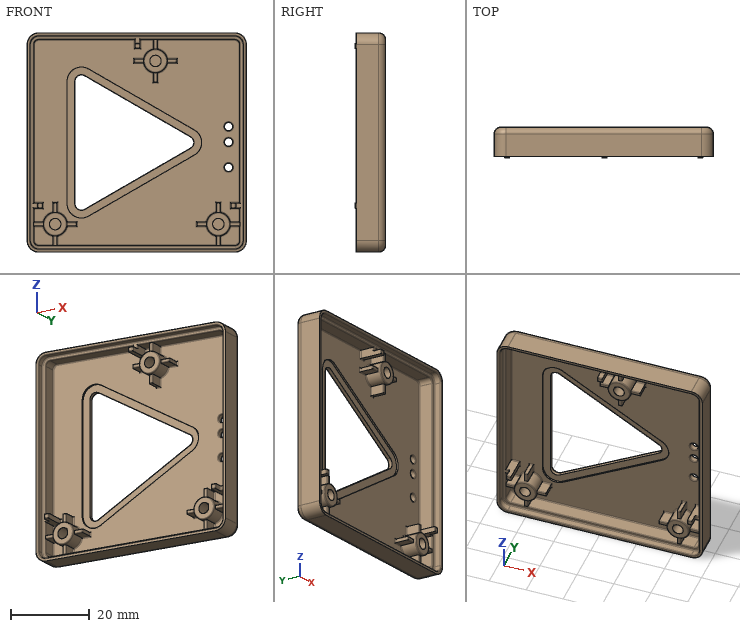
import cadquery as cq

BODY_SIZE = 55.66
BODY_DEPTH = 7.5
CORNER_RADIUS = 3.0
OUTER_EDGE_RADIUS = 1.8
FLOOR_THICKNESS = 1.55
WALL_THICKNESS = 1.7
RIM_WALL_THICKNESS = 0.8
RIM_STEP_DEPTH = 2.0
EDGE_RADIUS = 0.2

WINDOW_CENTER_X = -5.08
WINDOW_CIRCUMRADIUS = 17.9
WINDOW_CORNER_RADIUS = 1.65
WINDOW_BORDER_WIDTH = 2.0
WINDOW_BORDER_DEPTH = 0.5

HOLE_RADIUS = 1.05
HOLE_X = 23.3
HOLE_Z_POSITIONS = (4.05, 0.1, -6.3)

BOSS_OFFSET = 20.7
TOP_BOSS_X = 4.75
BOSS_CENTERS = ((-BOSS_OFFSET, -BOSS_OFFSET), (BOSS_OFFSET, -BOSS_OFFSET), (TOP_BOSS_X, BOSS_OFFSET))
BOSS_RADIUS = 3.0
BOSS_BORE_RADIUS = 1.45
BOSS_TOP_Y = 1.35
RIB_WIDTH = 1.0
RIB_TOP_Y = 2.1

TAB_WIDTH = 1.35
TAB_TIP_LENGTH = 1.25
TAB_TIP_GAP = 2.7
TAB_PROTRUSION = 0.35
TOP_TAB_X = 0.2
SIDE_TAB_Z = -16.0

FLOOR_Y = BODY_DEPTH - FLOOR_THICKNESS
HALF_SIZE = BODY_SIZE / 2
INNER_HALF = HALF_SIZE - WALL_THICKNESS
RIB_REACH = INNER_HALF - BOSS_OFFSET
SELECTION_MARGIN = 0.01


def plane_at(y):
    """Workplane at depth y whose local axes are X and Z; it extrudes toward -Y."""
    return cq.Workplane("XZ", origin=(0, y, 0))


def rounded_square(inset, y_start, y_end):
    """Square prism inset from the body outline, from y_start to a greater y_end."""
    size = BODY_SIZE - 2 * inset
    prism = plane_at(y_end).rect(size, size).extrude(y_end - y_start)
    return prism.edges("|Y").fillet(CORNER_RADIUS - inset)


def rounded_triangle(corner_radius, y_start, y_end):
    """Equilateral triangle pointing to +X with corner arcs of the given radius."""
    apothem = WINDOW_CIRCUMRADIUS / 2 + corner_radius
    prism = plane_at(y_end).polygon(3, 4 * apothem).extrude(y_end - y_start)
    return prism.edges("|Y").fillet(corner_radius).translate((WINDOW_CENTER_X, 0, 0))


def block(x_limits, z_limits, y_limits):
    """Axis-aligned block between the given (low, high) limits."""
    (x_low, x_high), (y_low, y_high), (z_low, z_high) = x_limits, y_limits, z_limits
    size = (x_high - x_low, y_high - y_low, z_high - z_low)
    return cq.Workplane("XY").box(*size, centered=False).translate((x_low, y_low, z_low))


def in_plane(y, x_limits, z_limits):
    """Selector for the edges that lie at depth y within the given (low, high) limits."""
    low = (x_limits[0] - SELECTION_MARGIN, y - SELECTION_MARGIN, z_limits[0] - SELECTION_MARGIN)
    high = (x_limits[1] + SELECTION_MARGIN, y + SELECTION_MARGIN, z_limits[1] + SELECTION_MARGIN)
    return cq.selectors.BoxSelector(low, high, boundingbox=True)


def make_tray():
    """Outer shell with the stepped cavity; only the corner at the floor is still sharp."""
    body = rounded_square(0, 0, BODY_DEPTH).faces(">Y").edges().fillet(OUTER_EDGE_RADIUS)
    pocket = rounded_square(WALL_THICKNESS, 0, FLOOR_Y)
    step = rounded_square(RIM_WALL_THICKNESS, 0, RIM_STEP_DEPTH)
    tray = body.cut(pocket).cut(step)
    inside_rim = (RIM_WALL_THICKNESS - HALF_SIZE, HALF_SIZE - RIM_WALL_THICKNESS)
    for y in (0, RIM_STEP_DEPTH):
        tray = tray.edges(in_plane(y, inside_rim, inside_rim)).fillet(EDGE_RADIUS)
    return tray


def rib_limits(center):
    """Ends of a rib pair along one axis; an end that meets the wall is sunk into it."""
    low = center - RIB_REACH
    high = center + RIB_REACH
    if center == -BOSS_OFFSET:
        low -= EDGE_RADIUS
    if center == BOSS_OFFSET:
        high += EDGE_RADIUS
    return low, high


def make_boss(x, z):
    """Boss cylinder centred on (x, z) with its four ribs, standing on the floor."""
    boss = plane_at(FLOOR_Y).center(x, z).circle(BOSS_RADIUS).extrude(FLOOR_Y - BOSS_TOP_Y)
    boss = boss.faces("<Y").edges().fillet(EDGE_RADIUS)
    half = RIB_WIDTH / 2
    height = (RIB_TOP_Y, FLOOR_Y)
    along_x = block(rib_limits(x), (z - half, z + half), height)
    along_z = block((x - half, x + half), rib_limits(z), height)
    for rib_pair in (along_x, along_z):
        boss = boss.union(rib_pair.faces("<Y").edges().fillet(EDGE_RADIUS))
    return boss


def make_tab():
    """Tab on the +Z wall at X = 0: a web at step level with a tip rising past the rim."""
    across = (-TAB_WIDTH / 2, TAB_WIDTH / 2)
    tip_outer_z = HALF_SIZE - TAB_TIP_GAP
    tip_inner_z = tip_outer_z - TAB_TIP_LENGTH
    web_z = (tip_inner_z, INNER_HALF + EDGE_RADIUS)
    web = block(across, web_z, (RIM_STEP_DEPTH, FLOOR_Y))
    tip = block(across, (tip_inner_z, tip_outer_z), (-TAB_PROTRUSION, FLOOR_Y))
    tip = tip.faces("<Y").edges().fillet(EDGE_RADIUS)
    web = web.faces("<Y").edges("|Z").fillet(EDGE_RADIUS)
    junction = in_plane(RIM_STEP_DEPTH, across, (tip_outer_z, tip_outer_z))
    return web.union(tip).edges(junction).fillet(EDGE_RADIUS)


def add_posts(part):
    """Add the bosses and the tabs: one tab on the +Z wall and one on each X wall."""
    for x, z in BOSS_CENTERS:
        part = part.union(make_boss(x, z))
    part = part.union(make_tab().translate((TOP_TAB_X, 0, 0)))
    for angle in (90, -90):
        side_tab = make_tab().rotate((0, 0, 0), (0, 1, 0), angle)
        part = part.union(side_tab.translate((0, 0, SIDE_TAB_Z)))
    return part


def blend_floor(part):
    """Fillet the corners where the wall and the posts meet the floor."""
    inside_wall = (-INNER_HALF, INNER_HALF)
    return part.edges(in_plane(FLOOR_Y, inside_wall, inside_wall)).fillet(EDGE_RADIUS)


def cut_window(part):
    """Cut the through window and the recess around it."""
    opening = rounded_triangle(WINDOW_CORNER_RADIUS, 0, BODY_DEPTH)
    border_radius = WINDOW_CORNER_RADIUS + WINDOW_BORDER_WIDTH
    border = rounded_triangle(border_radius, 0, FLOOR_Y + WINDOW_BORDER_DEPTH)
    return part.cut(opening).cut(border)


def cut_holes(part):
    """Cut the column of through holes, rounded where they leave the floor."""
    for z in HOLE_Z_POSITIONS:
        hole = plane_at(BODY_DEPTH).circle(HOLE_RADIUS).extrude(FLOOR_THICKNESS)
        part = part.cut(hole.translate((HOLE_X, 0, z)))
        around_x = (HOLE_X - HOLE_RADIUS, HOLE_X + HOLE_RADIUS)
        around_z = (z - HOLE_RADIUS, z + HOLE_RADIUS)
        part = part.edges(in_plane(FLOOR_Y, around_x, around_z)).fillet(EDGE_RADIUS)
    return part


def cut_bores(part):
    """Cut the blind boss bores down to the floor."""
    bores = plane_at(FLOOR_Y).pushPoints(BOSS_CENTERS).circle(BOSS_BORE_RADIUS)
    return part.cut(bores.extrude(FLOOR_Y - BOSS_TOP_Y))


result = make_tray()
result = add_posts(result)
result = blend_floor(result)
result = cut_window(result)
result = cut_holes(result)
result = cut_bores(result)